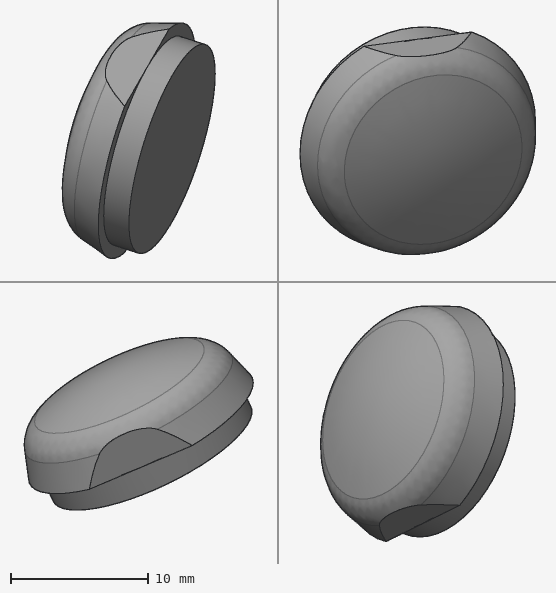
import cadquery as cq
import math

spigot_diameter = 16.0
spigot_length = 2.0
flange_diameter = 18.0
total_length = 7.0
dome_radius = 20.0
cone_half_angle = 17.0
shoulder_fillet = 2.5
width_across_flats = 16.0

head_length = total_length - spigot_length
apex_x = -head_length
flange_radius = flange_diameter / 2


def dome_corner():
    """Return (x, r) where the tapered wall, extended, meets the dome."""
    slope = math.tan(math.radians(cone_half_angle))
    centre_x = apex_x + dome_radius
    a = 1 + slope**2
    b = 2 * (flange_radius * slope - centre_x)
    c = centre_x**2 + flange_radius**2 - dome_radius**2
    x = (-b - math.sqrt(b**2 - 4 * a * c)) / (2 * a)
    return x, flange_radius + slope * x


def make_head():
    """Domed, tapered head with a rounded shoulder."""
    corner_x, corner_r = dome_corner()
    middle_r = corner_r / 2
    middle_x = apex_x + dome_radius - math.sqrt(dome_radius**2 - middle_r**2)
    head = (
        cq.Workplane("XY")
        .moveTo(apex_x, 0)
        .threePointArc((middle_x, middle_r), (corner_x, corner_r))
        .lineTo(0, flange_radius)
        .lineTo(0, 0)
        .close()
        .revolve(360, (0, 0, 0), (1, 0, 0))
    )
    corner_tolerance = 0.01
    shoulder = cq.selectors.BoxSelector(
        (corner_x - corner_tolerance, -flange_diameter, -flange_diameter),
        (corner_x + corner_tolerance, flange_diameter, flange_diameter),
        boundingbox=True,
    )
    return head.edges(shoulder).fillet(shoulder_fillet)


def cut_flats(head):
    """Trim the head to two parallel flats facing +Z and -Z."""
    envelope = cq.Workplane("XY").box(2 * total_length, 2 * flange_diameter, width_across_flats)
    return head.intersect(envelope)


def make_spigot():
    """Plain cylinder behind the head."""
    return cq.Workplane("YZ").circle(spigot_diameter / 2).extrude(spigot_length)


result = cut_flats(make_head()).union(make_spigot())